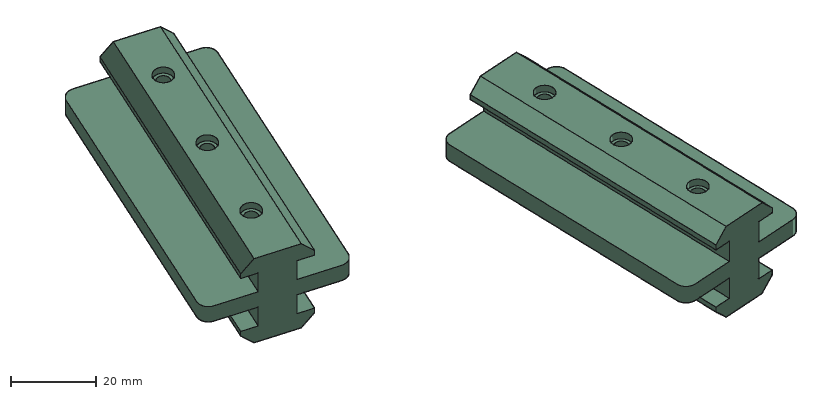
import cadquery as cq

length = 80.0
plate_width = 39.0
total_height = 27.6

plate_thickness = 5.0
corner_radius = 3.0

rail_width = 19.0
rail_top_width = 12.2
web_width = 10.0
bevel_height = 3.6
lip_height = 1.5

hole_pitch = 25.0
hole_diameter = 3.6
counterbore_diameter = 5.3
counterbore_depth = 2.0


def make_plate():
    """Flat plate with rounded vertical corners."""
    plate = cq.Workplane("XY").box(length, plate_width, plate_thickness)
    return plate.edges("|Z").fillet(corner_radius)


def make_rails():
    """Web with a bevelled rail head at each end, extruded along X."""
    top = total_height / 2
    bevel_bottom = top - bevel_height
    lip_bottom = bevel_bottom - lip_height
    upper_right = [
        (web_width / 2, lip_bottom),
        (rail_width / 2, lip_bottom),
        (rail_width / 2, bevel_bottom),
        (rail_top_width / 2, top),
    ]
    upper_left = [(-y, z) for y, z in reversed(upper_right)]
    upper = upper_right + upper_left
    lower = [(-y, -z) for y, z in upper]
    profile = cq.Workplane("YZ").polyline(upper + lower).close()
    return profile.extrude(length / 2, both=True)


def drill_holes(body):
    """Row of through holes, counterbored from the upper rail."""
    centers = [(i * hole_pitch, 0) for i in (-1, 0, 1)]
    top_plane = cq.Workplane("XY", origin=(0, 0, total_height / 2))
    bores = top_plane.pushPoints(centers).circle(hole_diameter / 2).extrude(-total_height)
    counterbores = top_plane.pushPoints(centers).circle(counterbore_diameter / 2).extrude(-counterbore_depth)
    return body.cut(bores).cut(counterbores)


result = drill_holes(make_plate().union(make_rails()))